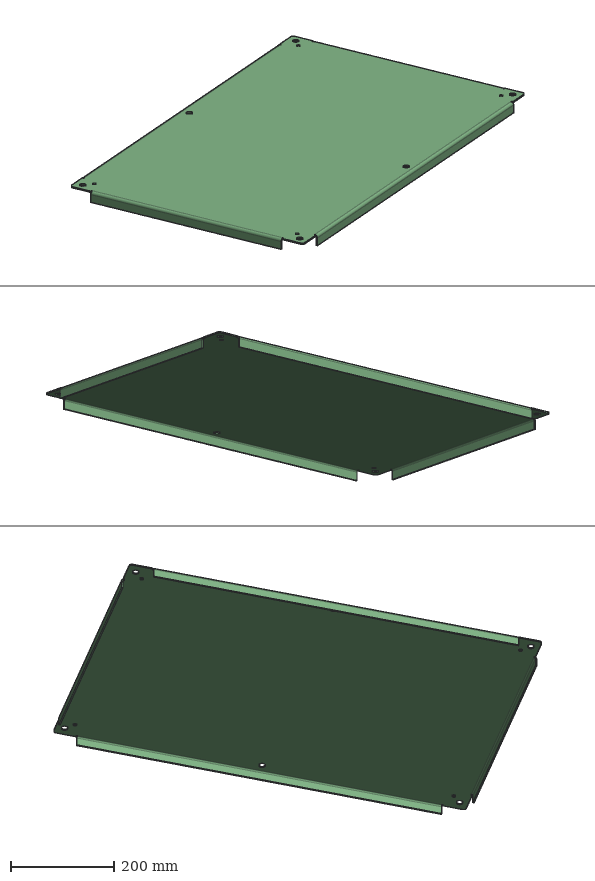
import cadquery as cq

width = 532.0
length = 837.0
height = 23.0

thickness = 3.0
bend_radius = 6.0

corner_setback = 2.9
corner_radius = 6.0
flange_end_gap = 51.0
relief_width = 2.0

mounting_diameter = 12.5
mounting_spacing_x = 489.0
mounting_spacing_y = 796.0
pilot_diameter = 7.1
pilot_spacing_x = 458.0
pilot_spacing_y = 763.0


def make_sheet():
    """Flat sheet, cut back to the bend lines, with a relief gap at each flange end."""
    sheet = (
        cq.Workplane("XY")
        .rect(width - 2 * corner_setback, length - 2 * corner_setback)
        .extrude(-thickness)
        .edges("|Z")
        .fillet(corner_radius)
    )
    bend_room_x = (
        cq.Workplane("XY")
        .pushPoints([(-width / 2, 0), (width / 2, 0)])
        .rect(2 * bend_radius, length - 2 * (flange_end_gap - relief_width))
        .extrude(-thickness)
    )
    bend_room_y = (
        cq.Workplane("XY")
        .pushPoints([(0, -length / 2), (0, length / 2)])
        .rect(width - 2 * (flange_end_gap - relief_width), 2 * bend_radius)
        .extrude(-thickness)
    )
    return sheet.cut(bend_room_x).cut(bend_room_y)


def make_flange(outer_face, flange_length):
    """Flange folded down at X = outer_face, running along Y, with its rounded bend."""
    bend_line = outer_face - bend_radius
    inner_face = outer_face - thickness
    inner_radius = bend_radius - thickness
    return (
        cq.Workplane("XZ")
        .moveTo(bend_line, 0)
        .radiusArc((outer_face, -bend_radius), bend_radius)
        .lineTo(outer_face, -height)
        .lineTo(inner_face, -height)
        .lineTo(inner_face, -bend_radius)
        .radiusArc((bend_line, -thickness), -inner_radius)
        .close()
        .extrude(flange_length / 2, both=True)
    )


def cut_holes(panel, points, diameter):
    """Round holes through the sheet."""
    drills = cq.Workplane("XY").pushPoints(points).circle(diameter / 2).extrude(-thickness)
    return panel.cut(drills)


side_flange = make_flange(width / 2, length - 2 * flange_end_gap)
end_flange = make_flange(length / 2, width - 2 * flange_end_gap)
result = make_sheet()
for turn in (0, 180):
    result = result.union(side_flange.rotate((0, 0, 0), (0, 0, 1), turn))
    result = result.union(end_flange.rotate((0, 0, 0), (0, 0, 1), turn + 90))

mounting_points = [
    (side * mounting_spacing_x / 2, row * mounting_spacing_y / 2)
    for side in (-1, 1)
    for row in (-1, 0, 1)
]
result = cut_holes(result, mounting_points, mounting_diameter)

pilot_points = [
    (side * pilot_spacing_x / 2, row * pilot_spacing_y / 2)
    for side in (-1, 1)
    for row in (-1, 1)
]
result = cut_holes(result, pilot_points, pilot_diameter)